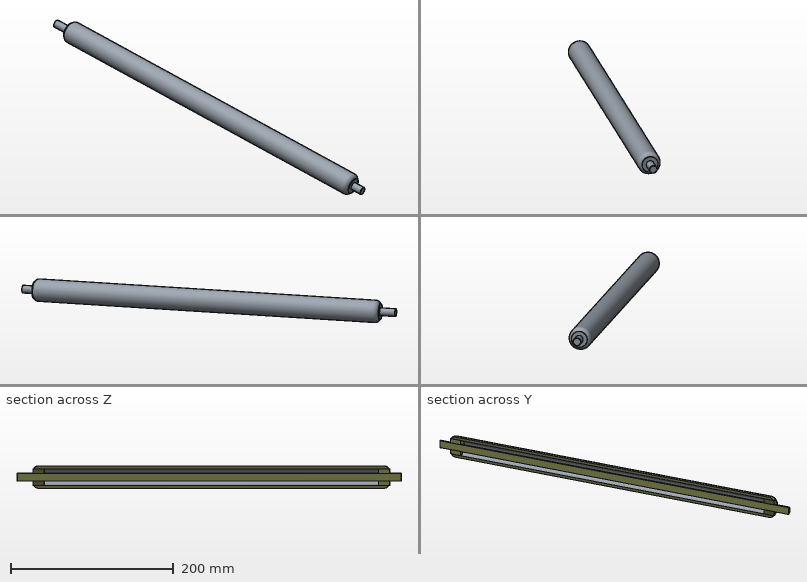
import cadquery as cq
import math

overall_length = 472.0
tube_diameter = 28.0
cap_diameter = 20.0
shaft_diameter = 10.0

left_stub = 19.5
right_stub = 14.0
cap_protrusion = 1.0
cap_length = 14.0
tube_round_radius = 6.0

shaft_chamfer = 0.5

shaft_left = -overall_length / 2
shaft_right = overall_length / 2
cap_left = shaft_left + left_stub
cap_right = shaft_right - right_stub
tube_left = cap_left + cap_protrusion
tube_right = cap_right - cap_protrusion


def cylinder(start_x, length, diameter):
    """Solid cylinder on the X axis, running towards +X from start_x."""
    return cq.Workplane("YZ", origin=(start_x, 0, 0)).circle(diameter / 2).extrude(length)


def make_shaft():
    """Through shaft with a small chamfer on both ends."""
    return cylinder(shaft_left, overall_length, shaft_diameter).edges().chamfer(shaft_chamfer)


def make_tube():
    """Tube whose ends curl in along an arc until they meet the cap."""
    outer = tube_diameter / 2
    bore = cap_diameter / 2
    arc_centre_r = outer - tube_round_radius
    reach = math.sqrt(tube_round_radius**2 - (bore - arc_centre_r) ** 2)
    mid_angle = math.asin(reach / tube_round_radius) / 2
    mid_reach = tube_round_radius * math.sin(mid_angle)
    mid_r = arc_centre_r + tube_round_radius * math.cos(mid_angle)
    left_tangent = tube_left + reach
    right_tangent = tube_right - reach
    return (
        cq.Workplane("XY")
        .moveTo(tube_left, bore)
        .threePointArc((left_tangent - mid_reach, mid_r), (left_tangent, outer))
        .lineTo(right_tangent, outer)
        .threePointArc((right_tangent + mid_reach, mid_r), (tube_right, bore))
        .close()
        .revolve(360, (0, 0, 0), (1, 0, 0))
    )


def make_cap(start_x):
    """End cap filling the tube bore around the shaft."""
    return cylinder(start_x, cap_length, cap_diameter).cut(
        cylinder(start_x, cap_length, shaft_diameter)
    )


shaft = make_shaft()
tube = make_tube()
caps = [make_cap(start_x) for start_x in (cap_left, cap_right - cap_length)]

result = cq.Compound.makeCompound([shaft.val(), tube.val(), *[cap.val() for cap in caps]])